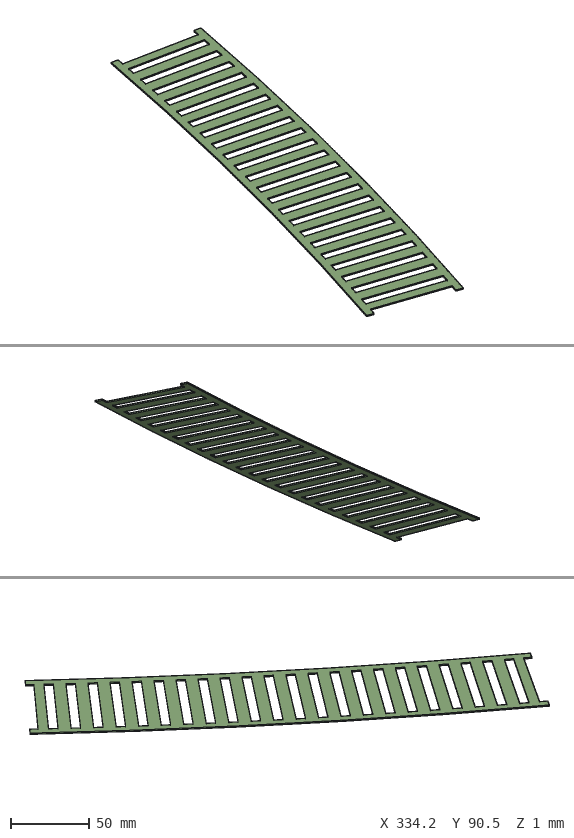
import cadquery as cq
import math

LENGTH = 334.2
SWEEP = 7.5
WIDTH = 69.2
THICKNESS = 1.0
RAIL_WIDTH = 5.5
SLOT_COUNT = 22
SLOT_WIDTH = 6.0
END_NOTCH_DEPTH = 5.5
END_RUNG_WIDTH = 6.7

OUTER_RADIUS = LENGTH / math.sin(math.radians(SWEEP))
INNER_RADIUS = OUTER_RADIUS - WIDTH
MIDDLE_RADIUS = OUTER_RADIUS - WIDTH / 2
SLOT_LENGTH = WIDTH - 2 * RAIL_WIDTH
END_TO_SLOT_CENTRE = END_NOTCH_DEPTH + END_RUNG_WIDTH + SLOT_WIDTH / 2
FIRST_SLOT_ANGLE = math.degrees(END_TO_SLOT_CENTRE / MIDDLE_RADIUS)
SLOT_PITCH_ANGLE = (SWEEP - 2 * FIRST_SLOT_ANGLE) / (SLOT_COUNT - 1)


def arc_point(radius, angle):
    """Point at a bend angle (degrees clockwise from +Y); the strip's left end is centred on the origin."""
    turn = math.radians(angle)
    return radius * math.sin(turn), radius * math.cos(turn) - MIDDLE_RADIUS


def curved_strip():
    """Solid strip bounded by two concentric arcs and two radial ends."""
    return (
        cq.Workplane("XY")
        .moveTo(*arc_point(OUTER_RADIUS, 0))
        .threePointArc(arc_point(OUTER_RADIUS, SWEEP / 2), arc_point(OUTER_RADIUS, SWEEP))
        .lineTo(*arc_point(INNER_RADIUS, SWEEP))
        .threePointArc(arc_point(INNER_RADIUS, SWEEP / 2), arc_point(INNER_RADIUS, 0))
        .close()
        .extrude(THICKNESS)
    )


def radial_cutter(angle, width):
    """Straight-sided through cutter, centred between the rails and aligned with the radius."""
    x, y = arc_point(MIDDLE_RADIUS, angle)
    return (
        cq.Workplane("XY")
        .rect(width, SLOT_LENGTH)
        .extrude(THICKNESS)
        .rotate((0, 0, 0), (0, 0, 1), -angle)
        .translate((x, y, 0))
    )


result = curved_strip()

for index in range(SLOT_COUNT):
    slot_angle = FIRST_SLOT_ANGLE + index * SLOT_PITCH_ANGLE
    result = result.cut(radial_cutter(slot_angle, SLOT_WIDTH))

for end_angle in (0, SWEEP):
    result = result.cut(radial_cutter(end_angle, 2 * END_NOTCH_DEPTH))